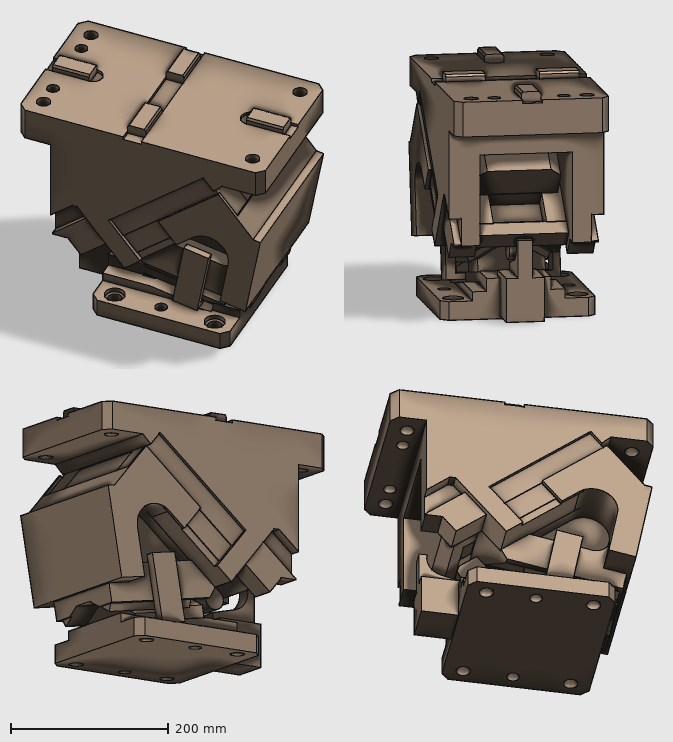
import cadquery as cq
import math


TOP_LENGTH = 340.0
HALF_WIDTH = 100.0
PLATE_TOP = 300.0
CORNER_CHAMFER = 10.0

CAM_ANGLE = math.radians(40)
SLIDE_ANGLE = math.radians(10)
CAM_ORIGIN = (148.2, 88.0)
SLIDE_ORIGIN = (156.0, 73.8)

LEFT_PLATE_BOTTOM = 255.0
RIGHT_PLATE_BOTTOM = 263.0
WALL_FRONT_X = 45.2
WALL_BOTTOM = 105.7
WALL_INNER_Y = 60.0
CAVITY_TOP = 222.7
CAM_LENGTH = 199.5
REAR_END_HEIGHT = 45.5
REAR_NOTCH = 12.2

FLOOR_START = -40.0
FLOOR_BOTTOM = 43.0
FLOOR_TOP = 66.3
FLOOR_BAND = 19.7
LEDGE_DROP = 1.0
T_SLOT_HALF_WIDTH = 34.5
T_SLOT_END = 119.0

BAR_OUTER_Y = 93.0
BAR_REACH = 51.0
BAR_BOTTOM = 38.0
BAR_TOP = 81.0
BAR_POCKET_FLOOR_Y = 84.0
BAR_POCKET_TOP = 106.8
BAR_POCKET_MAX_Z = 166.3

RECESS_START = 28.2
RECESS_TOP = 68.0
RECESS_FLOOR_Y = 95.5
GUIDE_STRIP_FLOOR_Y = 94.5
WEAR_STRIP_FLOOR_Y = 93.5
WEAR_STRIP_HEIGHT = 10.2

KEYWAY_DEPTH = 4.0
KEY_WIDTH = 25.0
KEY_LENGTH = 51.0
KEY_HEIGHT = 9.2
KEY_BEVEL_WIDTH = 2.0
KEY_BEVEL_HEIGHT = 3.0
KEY_END_GAP = 10.0
END_KEYWAY_LENGTH = 73.5
CROSS_KEYWAY_X = 159.0
CROSS_KEY_Y = 60.5

SCREW_HOLE_DIAMETER = 18.0
DOWEL_HOLE_DIAMETER = 16.0
PLATE_HOLE_INSET = 24.8
SCREW_HOLE_Y = 74.8
DOWEL_HOLE_Y = 45.0

HOOK_HALF_WIDTH = 12.0
HOOK_RADIUS = 13.3
HOOK_REACH = 26.5
HOOK_TOP = 34.0
HOOK_HEEL = (128.2, 90.0)

CORE_HALF_WIDTH = 63.0
CORE_LENGTH = 152.5
WING_START = 94.0
WING_END = 203.0
FLANGE_HEIGHT = 39.0
LEG_END = 158.0
LEG_BOTTOM = 25.0
LEG_TOP = 145.0
SHOULDER_LENGTH = 10.2
WINDOW_RADIUS = 30.0
WINDOW_CENTRE = 124.0
WINDOW_FLOOR = 49.3
WINDOW_CORNER_RADIUS = 20.5
WINDOW_INNER_Y = 40.8
SKIRT_START = 24.8
SKIRT_END = 149.3
SKIRT_HALF_WIDTH = 49.5
RECESSED_ROOF_LIFT = 12.5
HEAD_START = 27.5
HEAD_END = 102.0
NECK_SETBACK = 1.0
HEAD_THICKNESS = 46.5
HEAD_CLEARANCE = 3.5
HEAD_HALF_WIDTH = 55.0
HEAD_BEVEL_WIDTH = 14.0
HEAD_BEVEL_HEIGHT = 12.0

BRACKET_START = 53.0
BRACKET_END = 87.7
BRACKET_BOTTOM = -31.5
BRACKET_TOP = 59.0
BRACKET_OUTER_Y = 75.5
THIN_BRACKET_OUTER_Y = 72.5
FOOT_HEIGHT = 8.0
FOOT_INNER_Y = 50.5

ROOF_ANGLE = math.radians(30)
ROOF_TOP = 10.5
ROOF_FLAT_HALF_WIDTH = 15.0

BASE_START_X = 100.3
BASE_END_X = 290.7
BASE_PLATE_HEIGHT = 24.0
STEP_HEIGHT = 36.0
STEP_HALF_WIDTH = 60.0
FRONT_BLOCK_HEIGHT = 52.7
FRONT_BLOCK_HALF_WIDTH = 41.5
FRONT_BLOCK_END_X = 163.2
SADDLE_HALF_WIDTH = 43.5
SADDLE_LENGTH = 117.5
SADDLE_DEPTH = 40.8
WIDE_SADDLE_START = 68.0
WIDE_SADDLE_HALF_WIDTH = 59.5
GROOVE_START = -3.5
GROOVE_END = 103.5
GROOVE_BOTTOM = -35.5
GROOVE_TOP = -22.5
BASE_HOLE_Y = 80.2
BASE_HOLE_SPACING = 69.5
BASE_DOWEL_X = 190.5
COUNTERBORE_DIAMETER = 26.5
COUNTERBORE_DEPTH = 6.0

POST_FRONT_X = 52.5
POST_BACK_X = 115.5
POST_BOTTOM = 3.7
POST_SHOULDER = 60.5
POST_TOP = 109.0
POST_HALF_WIDTH = 24.5
POST_BLADE_HALF_WIDTH = 9.5
POST_TIP_X = 63.2
POST_CURVE_MIDDLE = (69.7, 85.5)
POST_CURVE_END = (83.0, 78.2)
POST_BACK_TOP = 70.5


def cam_point(along, up):
    """(x, z) of a point given along and square to the cam slope."""
    return (
        CAM_ORIGIN[0] + along * math.cos(CAM_ANGLE) - up * math.sin(CAM_ANGLE),
        CAM_ORIGIN[1] + along * math.sin(CAM_ANGLE) + up * math.cos(CAM_ANGLE),
    )


def slide_point(along, up):
    """(x, z) of a point given along and square to the slide direction."""
    return (
        SLIDE_ORIGIN[0] + along * math.cos(SLIDE_ANGLE) + up * math.sin(SLIDE_ANGLE),
        SLIDE_ORIGIN[1] - along * math.sin(SLIDE_ANGLE) + up * math.cos(SLIDE_ANGLE),
    )


def slide_coordinates(point):
    """(along, up) in the slide direction of an (x, z) point."""
    dx = point[0] - SLIDE_ORIGIN[0]
    dz = point[1] - SLIDE_ORIGIN[1]
    return (
        dx * math.cos(SLIDE_ANGLE) - dz * math.sin(SLIDE_ANGLE),
        dx * math.sin(SLIDE_ANGLE) + dz * math.cos(SLIDE_ANGLE),
    )


def box(x_range, y_range, z_range):
    size = [high - low for low, high in (x_range, y_range, z_range)]
    return cq.Workplane("XY").box(*size, centered=False).translate((x_range[0], y_range[0], z_range[0]))


def across(outline, y_start, y_end):
    """Extrude a closed XZ outline from y_start to y_end."""
    return outline.extrude(y_start - y_end).translate((0, y_start, 0))


def polygon(points):
    return cq.Workplane("XZ").polyline(points).close()


def both_sides(solid):
    return solid.union(solid.mirror("XZ"))


def inclined_block(frame, along, up, y_range):
    """Block squared to a slope, where frame is cam_point or slide_point."""
    corners = [(along[0], up[0]), (along[1], up[0]), (along[1], up[1]), (along[0], up[1])]
    return across(polygon([frame(*corner) for corner in corners]), *y_range)


def sweep_section(frame, direction, along, half_section):
    """Symmetric (y, up) section run along a slope from along[0] to along[1]."""
    x, z = frame(along[0], 0)
    plane = cq.Plane(origin=(x, 0, z), xDir=(0, 1, 0), normal=direction)
    mirrored = [(-y, up) for y, up in reversed(half_section) if y > 0]
    return cq.Workplane(plane).polyline(half_section + mirrored).close().extrude(along[1] - along[0])


CAM_DIRECTION = (math.cos(CAM_ANGLE), 0, math.sin(CAM_ANGLE))
SLIDE_DIRECTION = (math.cos(SLIDE_ANGLE), 0, -math.sin(SLIDE_ANGLE))


def roof_height(y):
    return ROOF_TOP - (y - ROOF_FLAT_HALF_WIDTH) * math.tan(ROOF_ANGLE)


def roof_prism(along, half_width, bottom, lift=0):
    """Ridge with a flat top and two slopes, running in the slide direction."""
    section = [
        (half_width, bottom),
        (half_width, roof_height(half_width) + lift),
        (ROOF_FLAT_HALF_WIDTH, ROOF_TOP + lift),
    ]
    return sweep_section(slide_point, SLIDE_DIRECTION, along, section)


def key(length):
    """Key along X, centred on the origin, with bevelled long edges."""
    half = KEY_WIDTH / 2
    height = KEY_HEIGHT + KEYWAY_DEPTH
    top_half = half - KEY_BEVEL_WIDTH
    bevel_start = height - KEY_BEVEL_HEIGHT
    section = [
        (-half, 0),
        (half, 0),
        (half, bevel_start),
        (top_half, height),
        (-top_half, height),
        (-half, bevel_start),
    ]
    solid = cq.Workplane("YZ").polyline(section).close().extrude(length)
    return solid.translate((-length / 2, 0, PLATE_TOP - KEYWAY_DEPTH))


def driver_plate():
    slab = box((0, TOP_LENGTH), (-HALF_WIDTH, HALF_WIDTH), (RIGHT_PLATE_BOTTOM, PLATE_TOP))
    front_slab = box((0, WALL_FRONT_X), (-HALF_WIDTH, HALF_WIDTH), (LEFT_PLATE_BOTTOM, PLATE_TOP))
    return slab.union(front_slab).edges("|Z and (<X or >X)").chamfer(CORNER_CHAMFER)


def driver_walls():
    """Full-width block under the plate, down to the cam slope, with the bars' outline at its front."""
    rear_top = cam_point(CAM_LENGTH, REAR_END_HEIGHT)
    bar_tip = cam_point(-BAR_REACH, BAR_BOTTOM)
    bar_end_x = bar_tip[0] - (WALL_BOTTOM - bar_tip[1]) * math.tan(CAM_ANGLE)
    outline = polygon([
        (WALL_FRONT_X, PLATE_TOP - KEYWAY_DEPTH),
        (rear_top[0] + REAR_NOTCH, PLATE_TOP - KEYWAY_DEPTH),
        (rear_top[0] + REAR_NOTCH, rear_top[1] + REAR_NOTCH),
        rear_top,
        cam_point(CAM_LENGTH, 0),
        cam_point(0, 0),
        cam_point(0, BAR_BOTTOM),
        bar_tip,
        (bar_end_x, WALL_BOTTOM),
        (WALL_FRONT_X, WALL_BOTTOM),
    ])
    return across(outline, -HALF_WIDTH, HALF_WIDTH)


def driver_cavity():
    """Space between the walls, ahead of, below and above the inclined floor."""
    ledge = FLOOR_TOP - LEDGE_DROP
    head_space_top = ledge + HEAD_THICKNESS + HEAD_CLEARANCE
    ceiling_end = (CAVITY_TOP - cam_point(0, head_space_top)[1]) / math.sin(CAM_ANGLE)
    rear_bottom = cam_point(CAM_LENGTH, 0)
    outline = polygon([
        (0, 0),
        (rear_bottom[0], 0),
        rear_bottom,
        cam_point(CAM_LENGTH, FLOOR_BOTTOM),
        cam_point(FLOOR_START, FLOOR_BOTTOM),
        cam_point(FLOOR_START, FLOOR_TOP),
        cam_point(FLOOR_START + FLOOR_BAND, FLOOR_TOP),
        cam_point(FLOOR_START + FLOOR_BAND, ledge),
        cam_point(T_SLOT_END, ledge),
        cam_point(T_SLOT_END, head_space_top),
        cam_point(ceiling_end, head_space_top),
        (0, CAVITY_TOP),
    ])
    return across(outline, -WALL_INNER_Y, WALL_INNER_Y)


def t_slot():
    return inclined_block(
        cam_point,
        (FLOOR_START + FLOOR_BAND, T_SLOT_END),
        (FLOOR_BOTTOM, FLOOR_TOP),
        (-T_SLOT_HALF_WIDTH, T_SLOT_HALF_WIDTH))


def bar_pockets():
    """Pockets outside the return bars: deep above each bar, shallow in front of it."""
    far = -2 * HALF_WIDTH
    deep = inclined_block(cam_point, (far, 0), (BAR_TOP, BAR_POCKET_TOP), (BAR_POCKET_FLOOR_Y, HALF_WIDTH))
    deep = deep.intersect(box((0, TOP_LENGTH), (0, HALF_WIDTH), (0, BAR_POCKET_MAX_Z)))
    shallow = inclined_block(cam_point, (far, 0), (0, BAR_TOP), (BAR_OUTER_Y, HALF_WIDTH))
    return both_sides(deep.union(shallow))


def flange_recesses():
    """Stepped recesses on the outside of the walls, deepest at the cam face."""
    main = inclined_block(
        cam_point, (RECESS_START, CAM_LENGTH), (0, RECESS_TOP), (RECESS_FLOOR_Y, HALF_WIDTH))
    guide = inclined_block(
        cam_point, (RECESS_START, WING_START), (0, FLANGE_HEIGHT), (GUIDE_STRIP_FLOOR_Y, HALF_WIDTH))
    wear = inclined_block(
        cam_point, (RECESS_START, WING_START), (0, WEAR_STRIP_HEIGHT), (WEAR_STRIP_FLOOR_Y, HALF_WIDTH))
    return both_sides(main.union(guide).union(wear))


def keyways():
    """Two round-ended keyways from the plate's ends and one straight across it."""
    half = KEY_WIDTH / 2
    depth = (PLATE_TOP - KEYWAY_DEPTH, PLATE_TOP)
    straight = END_KEYWAY_LENGTH - half
    front = box((0, straight), (-half, half), depth)
    front = front.union(
        cq.Workplane("XY", origin=(straight, 0, depth[0])).circle(half).extrude(KEYWAY_DEPTH))
    rear = front.mirror("YZ").translate((TOP_LENGTH, 0, 0))
    cross = box((CROSS_KEYWAY_X - half, CROSS_KEYWAY_X + half), (-HALF_WIDTH, HALF_WIDTH), depth)
    return front.union(rear).union(cross)


def plate_holes():
    rear_x = TOP_LENGTH - PLATE_HOLE_INSET
    screw_points = [(x, y) for x in (PLATE_HOLE_INSET, rear_x) for y in (-SCREW_HOLE_Y, SCREW_HOLE_Y)]
    dowel_points = [(PLATE_HOLE_INSET, y) for y in (-DOWEL_HOLE_Y, DOWEL_HOLE_Y)]
    plane = cq.Workplane("XY", origin=(0, 0, LEFT_PLATE_BOTTOM))
    depth = PLATE_TOP - LEFT_PLATE_BOTTOM
    screws = plane.pushPoints(screw_points).circle(SCREW_HOLE_DIAMETER / 2).extrude(depth)
    dowels = plane.pushPoints(dowel_points).circle(DOWEL_HOLE_DIAMETER / 2).extrude(depth)
    return screws.union(dowels)


def make_driver():
    body = driver_walls().union(driver_plate())
    body = body.cut(driver_cavity()).cut(t_slot()).cut(bar_pockets()).cut(flange_recesses())
    body = body.cut(keyways()).cut(plate_holes())

    end_key_x = KEY_END_GAP + KEY_LENGTH / 2
    for x in (end_key_x, TOP_LENGTH - end_key_x):
        body = body.union(key(KEY_LENGTH).translate((x, 0, 0)))
    cross_key = key(KEY_LENGTH).rotate((0, 0, 0), (0, 0, 1), 90)
    for y in (-CROSS_KEY_Y, CROSS_KEY_Y):
        body = body.union(cross_key.translate((CROSS_KEYWAY_X, y, 0)))
    return body.solids()


WINDOW_X, WINDOW_Z = cam_point(WINDOW_CENTRE, -WINDOW_RADIUS)
WINDOW_ALONG, WINDOW_UP = slide_coordinates((WINDOW_X, WINDOW_Z))
WINDOW_BACK = WINDOW_ALONG + WINDOW_RADIUS
WINDOW_CROWN = (
    WINDOW_X + WINDOW_RADIUS * math.sin(SLIDE_ANGLE),
    WINDOW_Z + WINDOW_RADIUS * math.cos(SLIDE_ANGLE),
)


def slider_core():
    outline = polygon([
        cam_point(0, 0),
        cam_point(WING_END, 0),
        slide_point(LEG_END - SHOULDER_LENGTH, LEG_TOP),
        slide_point(LEG_END, LEG_TOP),
        slide_point(LEG_END, LEG_BOTTOM),
        slide_point(CORE_LENGTH, LEG_BOTTOM),
        slide_point(CORE_LENGTH, 0),
        slide_point(0, 0),
    ])
    return across(outline, -CORE_HALF_WIDTH, CORE_HALF_WIDTH)


def slider_rise():
    """Upper part of the core, which fills the space between the driver's walls below its floor."""
    return inclined_block(cam_point, (0, CAM_LENGTH), (0, FLOOR_BOTTOM), (-WALL_INNER_Y, WALL_INNER_Y))


def slider_wing():
    """Side wing with an arched opening, and the thin flange outside the driver's wall."""
    outline = (
        cq.Workplane("XZ")
        .moveTo(*cam_point(WING_START, 0))
        .lineTo(*cam_point(WINDOW_CENTRE, 0))
        .threePointArc(WINDOW_CROWN, slide_point(WINDOW_BACK, WINDOW_UP))
        .lineTo(*slide_point(WINDOW_BACK, LEG_BOTTOM))
        .lineTo(*slide_point(LEG_END, LEG_BOTTOM))
        .lineTo(*slide_point(LEG_END, LEG_TOP))
        .lineTo(*slide_point(LEG_END - SHOULDER_LENGTH, LEG_TOP))
        .lineTo(*cam_point(WING_END, 0))
        .close()
    )
    wing = across(outline, CORE_HALF_WIDTH, HALF_WIDTH)
    flange = inclined_block(
        cam_point, (WING_START, WING_END), (0, FLANGE_HEIGHT), (RECESS_FLOOR_Y, HALF_WIDTH))
    return wing.union(flange)


def window_pocket():
    """Pocket that carries the arched opening on into the core."""
    cam_origin_along, cam_origin_up = slide_coordinates(CAM_ORIGIN)
    rise = CAM_ANGLE + SLIDE_ANGLE
    front = cam_origin_along + (WINDOW_FLOOR - cam_origin_up) / math.tan(rise)
    corner = WINDOW_CORNER_RADIUS
    corner_inset = corner * (1 - math.sqrt(0.5))
    outline = (
        cq.Workplane("XZ")
        .moveTo(*slide_point(front, WINDOW_FLOOR))
        .lineTo(*cam_point(WINDOW_CENTRE, 0))
        .threePointArc(WINDOW_CROWN, slide_point(WINDOW_BACK, WINDOW_UP))
        .lineTo(*slide_point(WINDOW_BACK, WINDOW_FLOOR + corner))
        .threePointArc(
            slide_point(WINDOW_BACK - corner_inset, WINDOW_FLOOR + corner_inset),
            slide_point(WINDOW_BACK - corner, WINDOW_FLOOR))
        .close()
    )
    return across(outline, WINDOW_INNER_Y, CORE_HALF_WIDTH)


def slider_skirt():
    """Underside below the core's sides, bevelled inwards and downwards."""
    depth = -roof_height(SKIRT_HALF_WIDTH)
    section = [
        (SKIRT_HALF_WIDTH + depth * math.tan(ROOF_ANGLE), 0),
        (SKIRT_HALF_WIDTH, roof_height(SKIRT_HALF_WIDTH)),
    ]
    return sweep_section(slide_point, SLIDE_DIRECTION, (SKIRT_START, SKIRT_END), section)


def t_head():
    """Neck in the driver's T-slot, and the bevelled head above its floor."""
    ledge = FLOOR_TOP - LEDGE_DROP
    neck = inclined_block(
        cam_point,
        (HEAD_START + NECK_SETBACK, HEAD_END),
        (FLOOR_BOTTOM, ledge),
        (-T_SLOT_HALF_WIDTH, T_SLOT_HALF_WIDTH))
    head_top = ledge + HEAD_THICKNESS
    section = [
        (HEAD_HALF_WIDTH, ledge),
        (HEAD_HALF_WIDTH, head_top - HEAD_BEVEL_HEIGHT),
        (HEAD_HALF_WIDTH - HEAD_BEVEL_WIDTH, head_top),
    ]
    head = sweep_section(cam_point, CAM_DIRECTION, (HEAD_START, HEAD_END), section)
    return neck.union(head)


def hook():
    centre = cam_point(-HOOK_REACH, HOOK_TOP - HOOK_RADIUS)
    outline = (
        cq.Workplane("XZ")
        .moveTo(*cam_point(-HOOK_REACH, HOOK_TOP))
        .lineTo(*cam_point(0, HOOK_TOP))
        .lineTo(*cam_point(0, 0))
        .lineTo(*HOOK_HEEL)
        .threePointArc((centre[0], centre[1] - HOOK_RADIUS), cam_point(-HOOK_REACH, HOOK_TOP))
        .close()
    )
    return across(outline, -HOOK_HALF_WIDTH, HOOK_HALF_WIDTH)


def return_bracket(outer_y):
    """L-shaped bracket: a leg on the core's side and a foot hooked into the base."""
    along = (BRACKET_START, BRACKET_END)
    leg = inclined_block(slide_point, along, (BRACKET_BOTTOM, BRACKET_TOP), (CORE_HALF_WIDTH, outer_y))
    foot = inclined_block(
        slide_point, along, (BRACKET_BOTTOM, BRACKET_BOTTOM + FOOT_HEIGHT), (FOOT_INNER_Y, CORE_HALF_WIDTH))
    return leg.union(foot)


def make_slider():
    roof_space = roof_prism((-CORE_LENGTH, 2 * CORE_LENGTH), SKIRT_HALF_WIDTH, BRACKET_BOTTOM)
    recess_half_width = SKIRT_HALF_WIDTH - roof_height(SKIRT_HALF_WIDTH) * math.tan(ROOF_ANGLE)
    front_recess = roof_prism(
        (-SKIRT_START, SKIRT_START), recess_half_width, BRACKET_BOTTOM, RECESSED_ROOF_LIFT)
    body = slider_core().cut(both_sides(window_pocket()))
    body = body.union(slider_rise()).union(slider_skirt())
    body = body.cut(roof_space).cut(front_recess)
    body = body.union(both_sides(slider_wing())).union(t_head()).union(hook())
    body = body.union(return_bracket(BRACKET_OUTER_Y))
    return body.union(return_bracket(THIN_BRACKET_OUTER_Y).mirror("XZ")).solids()


def post():
    """Wide foot in front of the base, carrying a narrow blade with a hollow back."""
    foot = box(
        (POST_FRONT_X, POST_BACK_X), (-POST_HALF_WIDTH, POST_HALF_WIDTH), (POST_BOTTOM, POST_SHOULDER))
    outline = (
        cq.Workplane("XZ")
        .moveTo(POST_FRONT_X, POST_BOTTOM)
        .lineTo(POST_FRONT_X, POST_TOP)
        .lineTo(POST_TIP_X, POST_TOP)
        .threePointArc(POST_CURVE_MIDDLE, POST_CURVE_END)
        .lineTo(POST_BACK_X, POST_BACK_TOP)
        .lineTo(POST_BACK_X, POST_BOTTOM)
        .close()
    )
    return foot.union(across(outline, -POST_BLADE_HALF_WIDTH, POST_BLADE_HALF_WIDTH))


def base_holes():
    """Counterbored screw holes at the corners, with a plain dowel hole between each pair."""
    middle_x = (BASE_START_X + BASE_END_X) / 2
    screw_points = [
        (middle_x + side * BASE_HOLE_SPACING, y) for side in (-1, 1) for y in (-BASE_HOLE_Y, BASE_HOLE_Y)
    ]
    dowel_points = [(BASE_DOWEL_X, y) for y in (-BASE_HOLE_Y, BASE_HOLE_Y)]
    plane = cq.Workplane("XY")
    screws = plane.pushPoints(screw_points).circle(SCREW_HOLE_DIAMETER / 2).extrude(BASE_PLATE_HEIGHT)
    dowels = plane.pushPoints(dowel_points).circle(DOWEL_HOLE_DIAMETER / 2).extrude(BASE_PLATE_HEIGHT)
    counterbores = (
        cq.Workplane("XY", origin=(0, 0, BASE_PLATE_HEIGHT - COUNTERBORE_DEPTH))
        .pushPoints(screw_points)
        .circle(COUNTERBORE_DIAMETER / 2)
        .extrude(COUNTERBORE_DEPTH)
    )
    return screws.union(dowels).union(counterbores)


def saddle():
    """V-shaped roof, narrow at its front and wide at its rear."""
    narrow = roof_prism((0, SADDLE_LENGTH), SADDLE_HALF_WIDTH, -SADDLE_DEPTH)
    wide = roof_prism((WIDE_SADDLE_START, SADDLE_LENGTH), WIDE_SADDLE_HALF_WIDTH, -SADDLE_DEPTH)
    return narrow.union(wide)


def make_base():
    length = (BASE_START_X, BASE_END_X)
    plate = box(length, (-HALF_WIDTH, HALF_WIDTH), (0, BASE_PLATE_HEIGHT))
    plate = plate.edges("|Z").chamfer(CORNER_CHAMFER).cut(base_holes())
    step = box(length, (-STEP_HALF_WIDTH, STEP_HALF_WIDTH), (0, STEP_HEIGHT))
    front_block = box(
        (BASE_START_X, FRONT_BLOCK_END_X),
        (-FRONT_BLOCK_HALF_WIDTH, FRONT_BLOCK_HALF_WIDTH),
        (0, FRONT_BLOCK_HEIGHT))
    foot_groove = inclined_block(
        slide_point,
        (GROOVE_START, GROOVE_END),
        (GROOVE_BOTTOM, GROOVE_TOP),
        (FRONT_BLOCK_HALF_WIDTH, CORE_HALF_WIDTH))
    body = plate.union(step).union(front_block).union(saddle())
    return body.cut(both_sides(foot_groove)).union(post()).solids()


driver = make_driver()
slider = make_slider()
base = make_base()

result = cq.Compound.makeCompound([driver.val(), slider.val(), base.val()])